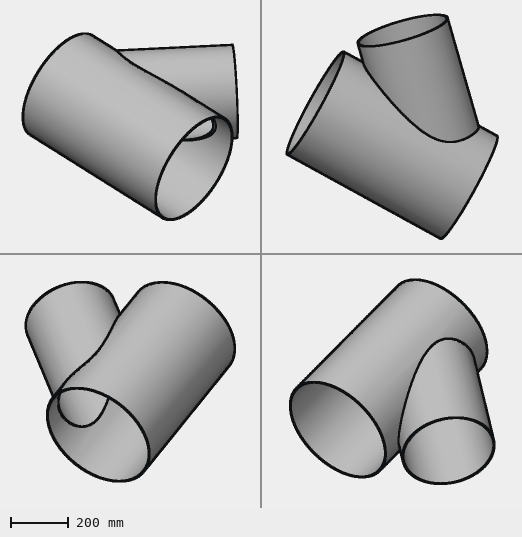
import cadquery as cq
import math

run_length = 608.0
run_outer_diameter = 406.0
run_bore_diameter = 398.5

branch_outer_diameter = 323.5
branch_bore_diameter = 316.0
branch_angle = 45.0
overall_width = 688.5

axis_crossing = 100.5

branch_start = 55.0

branch_angle_radians = math.radians(branch_angle)
branch_corner_y = overall_width - run_outer_diameter / 2
branch_end_y = branch_corner_y - branch_outer_diameter / 2 * math.cos(branch_angle_radians)
branch_length = branch_end_y / math.sin(branch_angle_radians)


def run_cylinder(diameter):
    """Solid cylinder along the main pipe, starting at X = 0."""
    return cq.Workplane("YZ").circle(diameter / 2).extrude(run_length)


def branch_cylinder(diameter):
    """Solid cylinder along the branch, from inside the main bore to the branch end."""
    branch_direction = (math.cos(branch_angle_radians), math.sin(branch_angle_radians), 0)
    crossing_plane = cq.Plane(origin=(axis_crossing, 0, 0), xDir=(0, 0, 1), normal=branch_direction)
    start_plane = cq.Workplane(crossing_plane).workplane(offset=branch_start)
    return start_plane.circle(diameter / 2).extrude(branch_length - branch_start)


outside = run_cylinder(run_outer_diameter).union(branch_cylinder(branch_outer_diameter))
result = outside.cut(run_cylinder(run_bore_diameter)).cut(branch_cylinder(branch_bore_diameter))